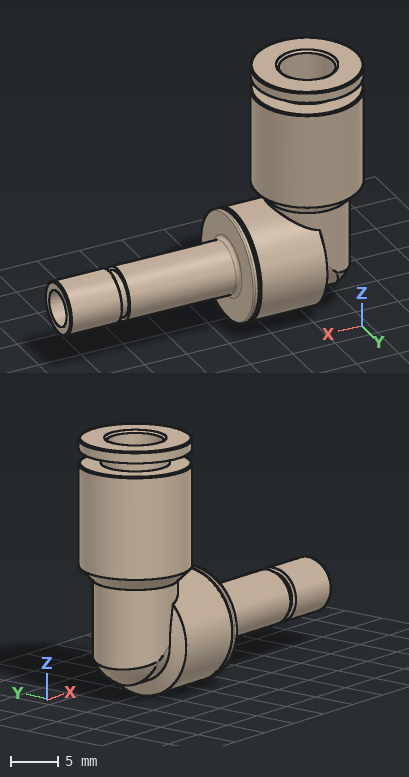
import cadquery as cq


socket_radius = 6.0
collar_neck_radius = 3.65
elbow_radius = 4.5
top_z = 22.0
collar_thickness = 1.25
collar_bottom_z = top_z - collar_thickness
socket_top_z = 19.28
cone_top_z = 8.05
cone_bottom_z = cone_top_z - (socket_radius - elbow_radius)
rim_break = 0.15

corner_ball_offset = -0.4
corner_trim_start = -0.7

hub_radius = 6.25
hub_start_x = 0.18
hub_rim_x = 0.78
ring_groove_start_x = 8.55
ring_start_x = 8.8
hub_end_x = 9.48
ring_groove_depth = 0.15
ring_round = 0.18

stem_radius = 3.0
stem_end_x = 35.5 - socket_radius
stem_root_fillet = 0.45
stem_groove_radius = 2.6
stem_groove_start_x = 22.47
stem_groove_end_x = 23.3
stem_groove_taper = 0.15
stem_end_chamfer = 0.15

tube_radius = 3.0
tube_stop_z = cone_top_z
tube_chamfer = 0.3
passage_radius = 2.005


def cylinder_z(radius, start, end):
    return cq.Workplane("XY").workplane(offset=start).circle(radius).extrude(end - start)


def cylinder_x(radius, start, end):
    return cq.Workplane("YZ").workplane(offset=start).circle(radius).extrude(end - start)


def make_socket():
    """Socket with its cone below and the release collar above."""
    cone = (
        cq.Workplane("XZ")
        .moveTo(0, cone_bottom_z)
        .lineTo(elbow_radius, cone_bottom_z)
        .lineTo(socket_radius, cone_top_z)
        .lineTo(0, cone_top_z)
        .close()
        .revolve(360, (0, 0, 0), (0, 1, 0))
    )
    barrel = cylinder_z(socket_radius, cone_top_z, socket_top_z).faces(">Z").chamfer(rim_break)
    neck = cylinder_z(collar_neck_radius, socket_top_z, collar_bottom_z)
    collar = cylinder_z(socket_radius, collar_bottom_z, top_z).faces(">Z").chamfer(rim_break)
    return cone.union(barrel).union(neck).union(collar)


def make_elbow():
    """Two mitred cylinders whose outer corner is rounded by a ball."""
    upright = cylinder_z(elbow_radius, 0, cone_bottom_z)
    level = cylinder_x(elbow_radius, 0, hub_rim_x)
    corner = cylinder_z(elbow_radius, -elbow_radius, elbow_radius).intersect(
        cylinder_x(elbow_radius, -elbow_radius, elbow_radius)
    )
    ball = cq.Workplane("XY").sphere(elbow_radius).translate((corner_ball_offset, 0, corner_ball_offset))
    trim_size = 2 * elbow_radius
    trim = (
        cq.Workplane("XY")
        .box(trim_size, 2 * trim_size, trim_size)
        .translate((corner_trim_start - trim_size / 2, 0, corner_trim_start - trim_size / 2))
        .cut(ball)
    )
    return corner.cut(trim).union(upright).union(level)


def make_hub_and_stem():
    """Turned profile about the X axis: hub, ring, root fillet and grooved stem."""
    ring_groove_radius = hub_radius - ring_groove_depth
    profile = (
        cq.Workplane("XZ")
        .moveTo(hub_start_x, 0)
        .lineTo(hub_start_x, elbow_radius)
        .lineTo(hub_rim_x, hub_radius)
        .lineTo(ring_groove_start_x, hub_radius)
        .lineTo(ring_groove_start_x, ring_groove_radius)
        .lineTo(ring_start_x, ring_groove_radius)
        .lineTo(ring_start_x, hub_radius - ring_round)
        .radiusArc((ring_start_x + ring_round, hub_radius), ring_round)
        .lineTo(hub_end_x - ring_round, hub_radius)
        .radiusArc((hub_end_x, hub_radius - ring_round), ring_round)
        .lineTo(hub_end_x, stem_radius + stem_root_fillet)
        .radiusArc((hub_end_x + stem_root_fillet, stem_radius), -stem_root_fillet)
        .lineTo(stem_groove_start_x, stem_radius)
        .lineTo(stem_groove_start_x, stem_groove_radius)
        .lineTo(stem_groove_end_x, stem_groove_radius)
        .lineTo(stem_groove_end_x + stem_groove_taper, stem_radius)
        .lineTo(stem_end_x - stem_end_chamfer, stem_radius)
        .lineTo(stem_end_x, stem_radius - stem_end_chamfer)
        .lineTo(stem_end_x, 0)
        .close()
    )
    return profile.revolve(360, (0, 0, 0), (1, 0, 0))


def make_bores():
    """Chamfered tube bore and the passage that turns through a ball into the stem."""
    tube = (
        cq.Workplane("XZ")
        .moveTo(0, tube_stop_z)
        .lineTo(tube_radius, tube_stop_z)
        .lineTo(tube_radius, top_z - tube_chamfer)
        .lineTo(tube_radius + tube_chamfer, top_z)
        .lineTo(0, top_z)
        .close()
        .revolve(360, (0, 0, 0), (0, 1, 0))
    )
    upright = cylinder_z(passage_radius, 0, tube_stop_z)
    level = cylinder_x(passage_radius, 0, stem_end_x)
    turn = cq.Workplane("XY").sphere(passage_radius)
    return tube.union(upright).union(level).union(turn)


result = make_socket().union(make_elbow()).union(make_hub_and_stem()).cut(make_bores())